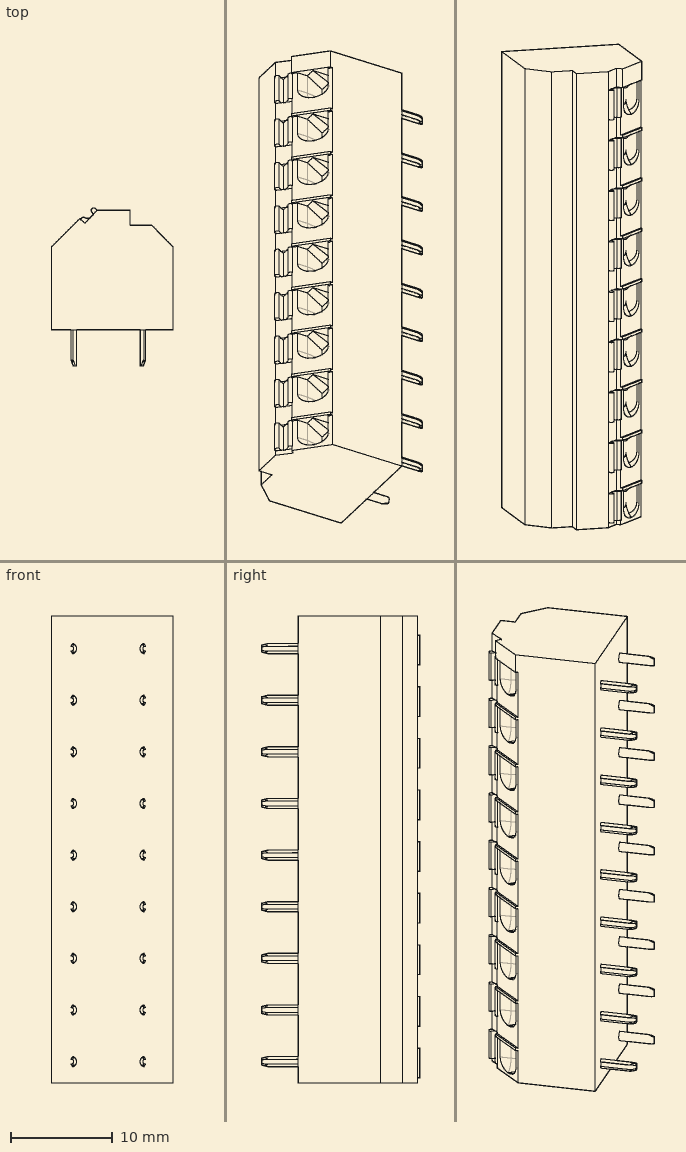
import cadquery as cq

length = 45.95
width = 12.0
side_height = 8.15
crown_height = 11.75
ledge_height = 10.3
shoulder_x, shoulder_y = 2.8, 10.95
notch_x, notch_y = 3.3, 10.48
crown_left_x = 4.5
crown_right_x = 7.75
ledge_right_x = 9.9

pole_count = 9
pin_row_span = 40.6
pole_pitch = pin_row_span / (pole_count - 1)
first_pin_z = 2.1
pocket_top_above_pin = 1.35
pole_gap = 0.28
pocket_height = pole_pitch - pole_gap
pocket_drop = 0.28

entry_x = 1.42
entry_radius = 1.1
entry_height = 3.12
funnel_start_y = 9.3
funnel_end_y = 7.45
funnel_end_x = 2.1
funnel_end_radius = 0.7
funnel_end_height = 1.85
funnel_roof_drop = 0.87

lever_height = 2.95
bar_radius = 0.28
tip_bar_x, tip_bar_y = 4.2, 11.7
base_bar_x, base_bar_y = 3.15, 10.8
seat_y = 11.0
recess_floor_x = 4.3

pin_length = 3.6
pin_root = 0.45
pin_inset_left = 1.95
pin_inset_right = 2.7
pin_depth = 0.55
pin_leg_z = 0.25
pin_half_height = 0.5
pin_corner_x = 0.2
pin_groove_depth = 0.28
tip_taper_length = 0.65
tip_taper_x = 0.25
tip_taper_z = 0.16


def prism(points, z_bottom, height):
    """Extrude an XY outline upward from z_bottom."""
    return cq.Workplane("XY").workplane(offset=z_bottom).polyline(points).close().extrude(height)


def make_housing():
    outline = [
        (0, 0),
        (width, 0),
        (width, side_height),
        (ledge_right_x, ledge_height),
        (crown_right_x, ledge_height),
        (crown_right_x, crown_height),
        (crown_left_x, crown_height),
        (notch_x, notch_y),
        (shoulder_x, shoulder_y),
        (0, side_height),
    ]
    return prism(outline, 0, length)


def slope_pocket(top_z):
    """Shallow layer removed from the left slope over one pole."""
    slope = (shoulder_y - side_height) / shoulder_x
    outline = [
        (0, side_height - pocket_drop),
        (notch_x, side_height - pocket_drop + slope * notch_x),
        (notch_x, crown_height),
        (0, crown_height),
    ]
    return prism(outline, top_z - pocket_height, pocket_height)


def entry_wire(y, center_x, top_z, radius, height):
    """Flat-topped, round-bottomed outline at height y above the board face."""
    plane = cq.Plane(origin=(center_x, y, top_z), xDir=(1, 0, 0), normal=(0, -1, 0))
    arc_start = radius - height
    sketch = (
        cq.Workplane(plane)
        .moveTo(-radius, 0)
        .lineTo(-radius, arc_start)
        .threePointArc((0, -height), (radius, arc_start))
        .lineTo(radius, 0)
        .close()
    )
    return sketch.wire().val()


def wire_entry(top_z):
    above = entry_wire(crown_height, entry_x, top_z, entry_radius, entry_height)
    start = entry_wire(funnel_start_y, entry_x, top_z, entry_radius, entry_height)
    end = entry_wire(
        funnel_end_y, funnel_end_x, top_z - funnel_roof_drop, funnel_end_radius, funnel_end_height
    )
    slot = cq.Workplane(cq.Solid.makeLoft([above, start], True))
    funnel = cq.Workplane(cq.Solid.makeLoft([start, end], True))

    lowest = entry_wire(funnel_end_y, entry_x, top_z, entry_radius, entry_height)
    outer_half = cq.Workplane("XY").box(entry_x, crown_height, length, centered=False)
    mouth = cq.Workplane(cq.Solid.makeLoft([above, lowest], True)).intersect(outer_half)
    return slot.union(funnel).union(mouth)


def bar(x, y, top_z):
    plane = cq.Workplane("XY").workplane(offset=top_z - lever_height)
    return plane.center(x, y).circle(bar_radius).extrude(lever_height)


def lever_tip(top_z):
    """Round tip on a web that fills the gap to the right wall of the notch."""
    web = [
        (tip_bar_x - bar_radius, tip_bar_y),
        (recess_floor_x, seat_y),
        (crown_left_x, tip_bar_y),
    ]
    return prism(web, top_z - lever_height, lever_height).union(bar(tip_bar_x, tip_bar_y, top_z))


def lever_recess(top_z):
    """Undercut below the tip, running down to the seat."""
    outline = [
        (notch_x, seat_y),
        (recess_floor_x, seat_y),
        (tip_bar_x - bar_radius, tip_bar_y),
        (notch_x, tip_bar_y),
    ]
    return prism(outline, top_z - lever_height, lever_height)


def lever_base(top_z):
    """Filling of the notch up to the seat, with a round bar on its left edge."""
    seat = [
        (notch_x, notch_y),
        (recess_floor_x, notch_y),
        (recess_floor_x, seat_y),
        (base_bar_x, seat_y),
        (base_bar_x - bar_radius, base_bar_y),
    ]
    return prism(seat, top_z - lever_height, lever_height).union(bar(base_bar_x, base_bar_y, top_z))


def make_pin():
    """Pin centred on Z = 0 with its open side on X = 0 and its back at +X."""
    section = (
        cq.Workplane("XZ", origin=(0, pin_root, 0))
        .moveTo(0, pin_leg_z)
        .lineTo(pin_corner_x, pin_half_height)
        .threePointArc((pin_depth, 0), (pin_corner_x, -pin_half_height))
        .lineTo(0, -pin_leg_z)
        .threePointArc((pin_groove_depth, 0), (0, pin_leg_z))
        .close()
        .extrude(pin_root + pin_length)
    )
    taper_y = tip_taper_length - pin_length
    side_outline = [
        (0, pin_root),
        (0, taper_y),
        (tip_taper_x, -pin_length),
        (pin_depth, -pin_length),
        (pin_depth, pin_root),
    ]
    side_limit = prism(side_outline, -pin_half_height, 2 * pin_half_height)
    tip_half_height = pin_half_height - tip_taper_z
    edge_outline = [
        (pin_root, pin_half_height),
        (taper_y, pin_half_height),
        (-pin_length, tip_half_height),
        (-pin_length, -tip_half_height),
        (taper_y, -pin_half_height),
        (pin_root, -pin_half_height),
    ]
    edge_limit = cq.Workplane("YZ").polyline(edge_outline).close().extrude(pin_depth)
    return section.intersect(side_limit).intersect(edge_limit)


result = make_housing()
left_pin = make_pin()
right_pin = left_pin.mirror("YZ")

for pole in range(pole_count):
    pin_z = first_pin_z + pole * pole_pitch
    pocket_top_z = pin_z + pocket_top_above_pin
    result = result.cut(slope_pocket(pocket_top_z))
    result = result.cut(wire_entry(pocket_top_z))
    result = result.union(lever_tip(pocket_top_z))
    result = result.cut(lever_recess(pocket_top_z))
    result = result.union(lever_base(pocket_top_z))
    result = result.union(left_pin.translate((pin_inset_left, 0, pin_z)))
    result = result.union(right_pin.translate((width - pin_inset_right, 0, pin_z)))